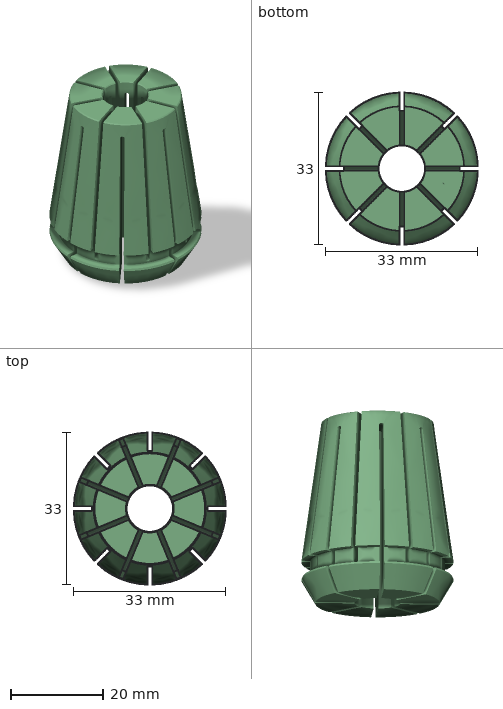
import cadquery as cq
import math

height = 40.0
outer_radius = 16.5
bore_radius = 5.0
rim_chamfer = 0.2
bore_chamfer = 0.2

taper_angle = 8.0
taper_bottom_z = 9.1
taper_top_radius = outer_radius - (height - taper_bottom_z) * math.tan(math.radians(taper_angle))

groove_radius = 14.6
flange_top_z = 5.55
flange_rim_z = 5.1
flange_top_radius = 16.3
bottom_radius = 13.5

slots_per_end = 8
slot_width = 1.0
slot_corner_radius = 0.4
slot_pitch = 360.0 / slots_per_end
bottom_slot_end_z = 37.1
top_slot_end_z = 5.95
overrun = 2.0


def collet_body():
    """Tapered collet with an extraction groove, revolved about Z around an open bore."""
    profile = (
        cq.Workplane("XZ")
        .moveTo(bore_radius, 0)
        .lineTo(bottom_radius, 0)
        .lineTo(outer_radius, flange_rim_z)
        .lineTo(flange_top_radius, flange_top_z)
        .lineTo(groove_radius, flange_top_z)
        .lineTo(groove_radius, taper_bottom_z)
        .lineTo(outer_radius, taper_bottom_z)
        .lineTo(taper_top_radius, height)
        .lineTo(bore_radius, height)
        .close()
    )
    body = profile.revolve(360, (0, 0, 0), (0, 1, 0))
    top_rim = cq.selectors.RadiusNthSelector(1)
    top_bore_edge = cq.selectors.RadiusNthSelector(0)
    body = body.faces(">Z").edges(top_rim).chamfer(rim_chamfer)
    body = body.faces(">Z").edges(top_bore_edge).chamfer(bore_chamfer)
    return body


def slot_cutter(open_z, end_z):
    """Radial slot along +X, open at open_z and closed at end_z by a flat end with rounded corners."""
    length = outer_radius + overrun
    depth = abs(end_z - open_z)
    cutter = cq.Workplane("XY").box(length, slot_width, depth, centered=(False, True, False))
    cutter = cutter.translate((0, 0, min(open_z, end_z)))
    closed_end = ">Z" if end_z > open_z else "<Z"
    return cutter.faces(closed_end).edges("|X").fillet(slot_corner_radius)


def cut_slot_ring(body, cutter, first_angle):
    """Cut evenly spaced copies of a slot around the Z axis."""
    for index in range(slots_per_end):
        angle = first_angle + index * slot_pitch
        body = body.cut(cutter.rotate((0, 0, 0), (0, 0, 1), angle))
    return body


result = collet_body()
result = cut_slot_ring(result, slot_cutter(-overrun, bottom_slot_end_z), 0)
result = cut_slot_ring(result, slot_cutter(height + overrun, top_slot_end_z), slot_pitch / 2)